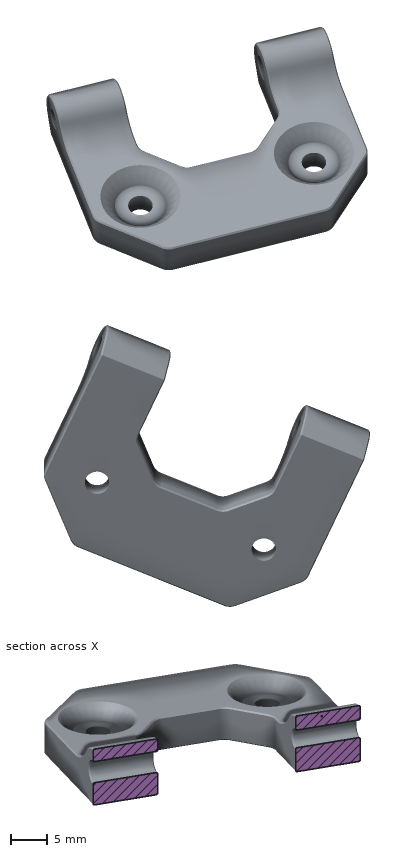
import cadquery as cq
import math

length_x = 30.0
width_y = 39.5
plate_thickness = 4.98
plan_corner_radius = 2.0
edge_chamfer = 0.2

barrel_radius = 3.5
tight_pin_hole_diameter = 2.6
loose_pin_hole_diameter = 3.12
neck_fillet_radius = 5.0
heel_arc_radius = 5.0
heel_angle = math.radians(30)

outer_corner_cut = 7.98
slot_width = 20.3
slot_depth = 17.02
slot_corner_cut = 5.15

screw_x = 20.0
screw_spacing_y = 25.0
screw_hole_diameter = 3.35
sink_top_diameter = 11.0
sink_floor_diameter = 7.0
sink_depth = (sink_top_diameter - sink_floor_diameter) / 2


def side_profile():
    """Barrel, neck and plate in the XZ plane, extruded over the full width."""
    axis_x = barrel_radius
    axis_z = plate_thickness

    center_distance = barrel_radius + neck_fillet_radius
    neck_end_x = axis_x + math.sqrt(center_distance**2 - neck_fillet_radius**2)
    neck_angle = math.asin(neck_fillet_radius / center_distance)
    neck_start = (
        axis_x + barrel_radius * math.cos(neck_angle),
        axis_z + barrel_radius * math.sin(neck_angle),
    )

    heel_end_x = heel_arc_radius * (1 - math.cos(heel_angle))
    heel_end_z = axis_z - heel_arc_radius * math.sin(heel_angle)
    base_start_x = heel_end_x + heel_end_z * math.tan(heel_angle)

    return (
        cq.Workplane("XZ")
        .moveTo(base_start_x, 0)
        .lineTo(length_x, 0)
        .lineTo(length_x, plate_thickness)
        .lineTo(neck_end_x, plate_thickness)
        .tangentArcPoint(neck_start, relative=False)
        .tangentArcPoint((0, axis_z), relative=False)
        .tangentArcPoint((heel_end_x, heel_end_z), relative=False)
        .close()
        .extrude(width_y / 2, both=True)
    )


def cut_plan_outline(body):
    """Cut the two +X corners and the slot between the arms, and round their corners."""
    half_width = width_y / 2
    half_slot = slot_width / 2
    height = plate_thickness + barrel_radius
    outline = (
        cq.Workplane("XY")
        .moveTo(0, half_width)
        .lineTo(length_x - outer_corner_cut, half_width)
        .lineTo(length_x, half_width - outer_corner_cut)
        .lineTo(length_x, -half_width + outer_corner_cut)
        .lineTo(length_x - outer_corner_cut, -half_width)
        .lineTo(0, -half_width)
        .lineTo(0, -half_slot)
        .lineTo(slot_depth - slot_corner_cut, -half_slot)
        .lineTo(slot_depth, -half_slot + slot_corner_cut)
        .lineTo(slot_depth, half_slot - slot_corner_cut)
        .lineTo(slot_depth - slot_corner_cut, half_slot)
        .lineTo(0, half_slot)
        .close()
        .extrude(height)
        .edges("|Z")
        .edges("not <X")
        .fillet(plan_corner_radius)
    )
    return body.intersect(outline)


def bevel_rims(body):
    """Bevel the rims of all side walls; the crosswise edges of the barrels stay sharp."""
    rims = body.edges("not (|Y or |Z)")
    crosswise_rims = body.edges("|Y").filter(lambda edge: edge.Center().x > slot_depth - edge_chamfer)
    return rims.add(crosswise_rims).chamfer(edge_chamfer)


def cut_pin_holes(body):
    """Drill the hinge pin hole through each barrel and bevel both of its mouths."""
    barrel_width = (width_y - slot_width) / 2
    barrel_offset = (width_y + slot_width) / 4
    for side, diameter in ((-1, tight_pin_hole_diameter), (1, loose_pin_hole_diameter)):
        barrel_y = side * barrel_offset
        pin = (
            cq.Workplane("XZ", origin=(barrel_radius, barrel_y, plate_thickness))
            .circle(diameter / 2)
            .extrude(barrel_width / 2, both=True)
        )
        body = body.cut(pin)
        for mouth_y in (barrel_y - barrel_width / 2, barrel_y + barrel_width / 2):
            mouth = cq.selectors.NearestToPointSelector((barrel_radius, mouth_y, plate_thickness))
            body = body.edges("%CIRCLE").edges(mouth).chamfer(edge_chamfer)
    return body


def cut_screw_holes(body):
    """Cut two through holes, each with a conical sink that ends in a flat floor."""
    for screw_y in (-screw_spacing_y / 2, screw_spacing_y / 2):
        sink = (
            cq.Workplane("XY", origin=(screw_x, screw_y, plate_thickness - sink_depth))
            .circle(sink_floor_diameter / 2)
            .workplane(offset=sink_depth)
            .circle(sink_top_diameter / 2)
            .loft()
        )
        shank = (
            cq.Workplane("XY", origin=(screw_x, screw_y, 0))
            .circle(screw_hole_diameter / 2)
            .extrude(plate_thickness)
        )
        body = body.cut(sink).cut(shank)
    return body


body = cut_plan_outline(side_profile())
body = bevel_rims(body)
body = cut_pin_holes(body)
result = cut_screw_holes(body)